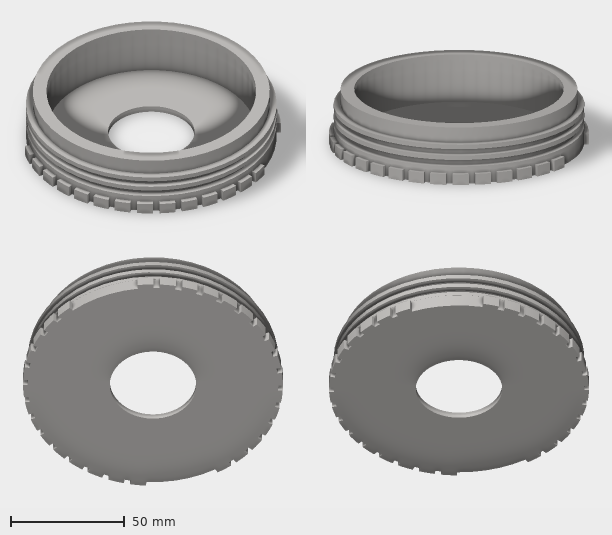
import cadquery as cq
import math

total_height = 25.0
neck_diameter = 104.0
groove_diameter = 105.0
bore_diameter = 92.0
hole_diameter = 38.0
floor_thickness = 3.0

ring_diameter = 110.0
ring_thickness = 2.0
ring_pitch = 5.0
ring_count = 3
top_ring_top = 18.0
lowest_ring_top = top_ring_top - (ring_count - 1) * ring_pitch

flange_diameter = 114.0
flange_height = 5.0
gap_root_diameter = 109.9
gap_height = 6.0
tooth_slots = 36
tooth_pitch_angle = 360 / tooth_slots
tooth_angle = 7.1
first_tooth_angle = 1.0
missing_teeth = (1, 2, 3, 20, 21, 22)
cutter_diameter = flange_diameter + 2.3


def disc(diameter, bottom, top):
    """Solid cylinder on the Z axis between two heights."""
    return cq.Workplane("XY").workplane(offset=bottom).circle(diameter / 2).extrude(top - bottom)


def tooth_sector(center_angle):
    """Wedge from the Z axis that spans one tooth and reaches past the flange rim."""
    reach = cutter_diameter / 2
    half_width = reach * math.tan(math.radians(tooth_angle / 2))
    wedge = (
        cq.Workplane("XY")
        .polyline([(0, 0), (reach, -half_width), (reach, half_width)])
        .close()
        .extrude(gap_height)
    )
    return wedge.rotate((0, 0, 0), (0, 0, 1), center_angle)


def tooth_gaps():
    """Annular cutter that leaves material only where there is a tooth."""
    gaps = disc(cutter_diameter, 0, gap_height).cut(disc(gap_root_diameter, 0, gap_height))
    for slot in range(tooth_slots):
        if slot not in missing_teeth:
            gaps = gaps.cut(tooth_sector(first_tooth_angle + slot * tooth_pitch_angle))
    return gaps


def outer_body():
    """Stepped solid with the flange, the lowest ring, the grooves and the neck."""
    body = disc(neck_diameter, 0, total_height)
    body = body.union(disc(groove_diameter, 0, top_ring_top))
    body = body.union(disc(flange_diameter, 0, flange_height))
    body = body.union(disc(ring_diameter, 0, lowest_ring_top))
    for level in range(1, ring_count):
        ring_top = lowest_ring_top + level * ring_pitch
        body = body.union(disc(ring_diameter, ring_top - ring_thickness, ring_top))
    return body


result = (
    outer_body()
    .cut(tooth_gaps())
    .cut(disc(bore_diameter, floor_thickness, total_height))
    .cut(disc(hole_diameter, 0, floor_thickness))
)